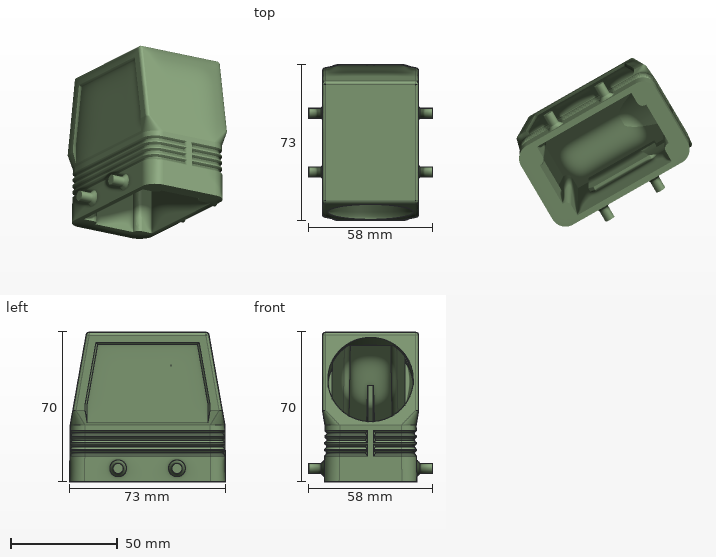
import cadquery as cq
import math

total_height = 70.0
overlap = 1.0
pin_span = 58.0
base_half_x = 21.65
base_half_y = 36.495
base_corner_radius = 7.0
neck_top_z = 26.5
base_draft = 0.3
shoulder_top_z = 33.4
hood_half_x = 22.5
hood_edge_radius = 1.5
end_slope = math.tan(math.radians(10.0))

neck_half_y = base_half_y - base_draft

groove_count = 4
groove_pitch = 3.08
groove_mouth = 2.55
groove_floor = 0.65
groove_depth = (groove_mouth - groove_floor) / 2
lowest_groove_z = 13.47
end_rib_half_width = 1.45

pin_radius = 2.4
pin_z = 6.3
pin_half_spacing = 13.75
pin_collar_radius = 3.85
pin_root_x = base_half_x - overlap

panel_depth = 0.95
panel_top_z = 65.2
panel_kink_z = 36.4
panel_bottom_z = neck_top_z - overlap / 2
panel_kink_half_y = 29.2

entry_radius = 20.0
entry_z = 47.9
entry_depth = 20.0

cavity_top_z = 63.9
cavity_draft = math.tan(math.radians(1.0))
cavity_half_x = 17.7
cavity_half_y = 24.4
bay_half_x = 9.45
bay_depth = 3.25
post_round = 2.75
pad_face_x = 16.0
pad_half_length = 17.9
pad_bottom_z = 32.6
pad_corner_length = 2.7
pad_corner_height = 4.0
key_rib_top_z = 45.2
key_rib_half_width = 1.2
key_rib_root_half_width = 2.05
key_rib_height = 1.0


def end_face_y(z):
    """Half length between the sloping hood ends at height z."""
    return neck_half_y - (z - neck_top_z) * end_slope


def skin(lower, upper):
    """Straight-walled solid between two rounded rectangles (z, half_x, half_y, radius)."""
    wires = []
    for z, half_x, half_y, radius in (lower, upper):
        block = cq.Workplane("XY", origin=(0, 0, z)).rect(2 * half_x, 2 * half_y).extrude(overlap)
        wires.append(block.edges("|Z").fillet(radius).faces("<Z").wires().val())
    return cq.Workplane(cq.Solid.makeLoft(wires, True))


def base_section(z, inset=0.0):
    """Section of the drafted base at height z, optionally shrunk by inset."""
    lean = base_draft * z / neck_top_z + inset
    return z, base_half_x - lean, base_half_y - lean, base_corner_radius - inset


def hood_section(z):
    """Section of the hood at height z, between its sloping ends."""
    return z, hood_half_x, end_face_y(z), hood_edge_radius


def make_shell():
    """Solid outer form: drafted base, blended shoulder and hood."""
    base = skin(base_section(0), base_section(neck_top_z))
    shoulder = skin(base_section(neck_top_z), hood_section(shoulder_top_z))
    hood = skin(hood_section(shoulder_top_z), hood_section(total_height))
    hood = hood.faces(">Z").edges().fillet(hood_edge_radius)
    return base.union(shoulder).union(hood)


def make_groove(z):
    """Ring-shaped groove with sloping flanks and a flat floor, centred on height z."""
    levels = [
        (z - groove_mouth / 2, 0.0),
        (z - groove_floor / 2, groove_depth),
        (z + groove_floor / 2, groove_depth),
        (z + groove_mouth / 2, 0.0),
    ]
    outer_x = 2 * (base_half_x + overlap)
    outer_y = 2 * (base_half_y + overlap)
    ring = (
        cq.Workplane("XY", origin=(0, 0, z - groove_mouth / 2))
        .rect(outer_x, outer_y)
        .extrude(groove_mouth)
    )
    for (z_low, inset_low), (z_high, inset_high) in zip(levels, levels[1:]):
        ring = ring.cut(skin(base_section(z_low, inset_low), base_section(z_high, inset_high)))
    return ring


def make_end_strips():
    """Bars that keep the grooves clear of the middle of both ends."""
    root_depth = groove_depth + overlap
    root_y = neck_half_y - root_depth
    root_half_width = end_rib_half_width + root_depth
    strip = (
        cq.Workplane("XY")
        .polyline([
            (-root_half_width, root_y),
            (root_half_width, root_y),
            (end_rib_half_width, neck_half_y),
            (end_rib_half_width, base_half_y + overlap),
            (-end_rib_half_width, base_half_y + overlap),
            (-end_rib_half_width, neck_half_y),
        ])
        .close()
        .extrude(neck_top_z)
    )
    return strip.union(strip.mirror("XZ"))


def make_pins():
    """Four locking pins, each on a conical collar."""
    collar_end_x = base_half_x + pin_collar_radius - pin_radius
    root_radius = pin_collar_radius + base_half_x - pin_root_x
    pin = (
        cq.Workplane("XY")
        .polyline([
            (pin_root_x, 0),
            (pin_root_x, root_radius),
            (collar_end_x, pin_radius),
            (pin_span / 2, pin_radius),
            (pin_span / 2, 0),
        ])
        .close()
        .revolve(360, (0, 0, 0), (1, 0, 0))
    )
    pins = cq.Workplane("XY")
    for y in (-pin_half_spacing, pin_half_spacing):
        placed = pin.translate((0, y, pin_z))
        pins = pins.add(placed).add(placed.mirror("YZ"))
    return pins.combine()


def make_panel():
    """Recess with 45 degree walls for the +X side."""
    top_half_y = panel_kink_half_y - (panel_top_z - panel_kink_z) * end_slope
    return (
        cq.Workplane("YZ", origin=(hood_half_x, 0, 0))
        .polyline([
            (-panel_kink_half_y, panel_bottom_z),
            (panel_kink_half_y, panel_bottom_z),
            (panel_kink_half_y, panel_kink_z),
            (top_half_y, panel_top_z),
            (-top_half_y, panel_top_z),
            (-panel_kink_half_y, panel_kink_z),
        ])
        .close()
        .extrude(-panel_depth, taper=45)
    )


def cavity_outline(grow):
    """Plan outline of the cavity, opened out by grow from its ceiling size."""
    side_x = cavity_half_x + grow
    post_y = cavity_half_y + grow
    bay_x = bay_half_x + grow
    bay_y = post_y + bay_depth
    mouth_x = bay_x + post_round
    return (
        cq.Workplane("XY")
        .moveTo(-side_x, -post_y)
        .lineTo(-mouth_x, -post_y)
        .radiusArc((-bay_x, -post_y - post_round), post_round)
        .lineTo(-bay_x, -bay_y)
        .lineTo(bay_x, -bay_y)
        .lineTo(bay_x, -post_y - post_round)
        .radiusArc((mouth_x, -post_y), post_round)
        .lineTo(side_x, -post_y)
        .lineTo(side_x, post_y)
        .lineTo(mouth_x, post_y)
        .radiusArc((bay_x, post_y + post_round), post_round)
        .lineTo(bay_x, bay_y)
        .lineTo(-bay_x, bay_y)
        .lineTo(-bay_x, post_y + post_round)
        .radiusArc((-mouth_x, post_y), post_round)
        .lineTo(-side_x, post_y)
        .close()
        .wire()
        .val()
    )


def back_bay_y(z):
    """Sloping back of the bay opposite the cable entry."""
    return cavity_half_y + bay_depth + (cavity_top_z - z) * end_slope


def make_cavity():
    """Drafted hollow, open below, with a bay reaching into the back wall."""
    floor_wire = cavity_outline(cavity_top_z * cavity_draft)
    ceiling_wire = cavity_outline(0.0).moved(cq.Location(cq.Vector(0, 0, cavity_top_z)))
    cavity = cq.Workplane(cq.Solid.makeLoft([floor_wire, ceiling_wire], True))

    bay_bottom_z = neck_top_z
    bay_start_y = cavity_half_y + bay_depth / 2
    bay_bottom_half_x = bay_half_x + (cavity_top_z - bay_bottom_z) * cavity_draft
    bay_profile = (
        cq.Workplane("YZ", origin=(-hood_half_x, 0, 0))
        .polyline([
            (bay_start_y, bay_bottom_z),
            (back_bay_y(bay_bottom_z), bay_bottom_z),
            (back_bay_y(cavity_top_z), cavity_top_z),
            (bay_start_y, cavity_top_z),
        ])
        .close()
        .extrude(2 * hood_half_x)
    )
    bay_front = (
        cq.Workplane("XZ")
        .polyline([
            (-bay_bottom_half_x, bay_bottom_z),
            (bay_bottom_half_x, bay_bottom_z),
            (bay_half_x, cavity_top_z),
            (-bay_half_x, cavity_top_z),
        ])
        .close()
        .extrude(-base_half_y)
    )
    back_bay = bay_profile.intersect(bay_front)
    return cavity.union(back_bay)


def make_wall_pad():
    """Thickening of the upper +X wall, with bevelled lower corners."""
    root_x = hood_half_x - panel_depth - overlap
    bottom_half_length = pad_half_length - pad_corner_length
    corner_top_z = pad_bottom_z + pad_corner_height
    return (
        cq.Workplane("YZ", origin=(pad_face_x, 0, 0))
        .polyline([
            (-bottom_half_length, pad_bottom_z),
            (bottom_half_length, pad_bottom_z),
            (pad_half_length, corner_top_z),
            (pad_half_length, cavity_top_z),
            (-pad_half_length, cavity_top_z),
            (-pad_half_length, corner_top_z),
        ])
        .close()
        .extrude(root_x - pad_face_x)
    )


def make_key_rib():
    """Upright rib on the back wall, flared towards its root."""
    face_y = back_bay_y(key_rib_top_z) - key_rib_height
    root_y = end_face_y(neck_top_z) - overlap
    return (
        cq.Workplane("XY", origin=(0, 0, neck_top_z))
        .polyline([
            (-key_rib_half_width, face_y),
            (key_rib_half_width, face_y),
            (key_rib_root_half_width, root_y),
            (-key_rib_root_half_width, root_y),
        ])
        .close()
        .extrude(key_rib_top_z - neck_top_z)
    )


def make_cable_entry():
    """Blind round bore square to the sloping -Y end."""
    tilt = math.atan(end_slope)
    inward = cq.Vector(0, math.cos(tilt), -math.sin(tilt))
    mouth = cq.Vector(0, -end_face_y(entry_z), entry_z)
    lead = 2 * overlap
    return cq.Workplane(
        cq.Solid.makeCylinder(entry_radius, entry_depth + lead, mouth - inward * lead, inward)
    )


end_strips = make_end_strips()
result = make_shell()
for index in range(groove_count):
    groove = make_groove(lowest_groove_z + index * groove_pitch)
    result = result.cut(groove.cut(end_strips))
panel = make_panel()
result = result.cut(panel).cut(panel.mirror("YZ"))
result = result.union(make_pins())
result = result.cut(make_cavity().cut(make_key_rib()).cut(make_wall_pad()))
result = result.cut(make_cable_entry())